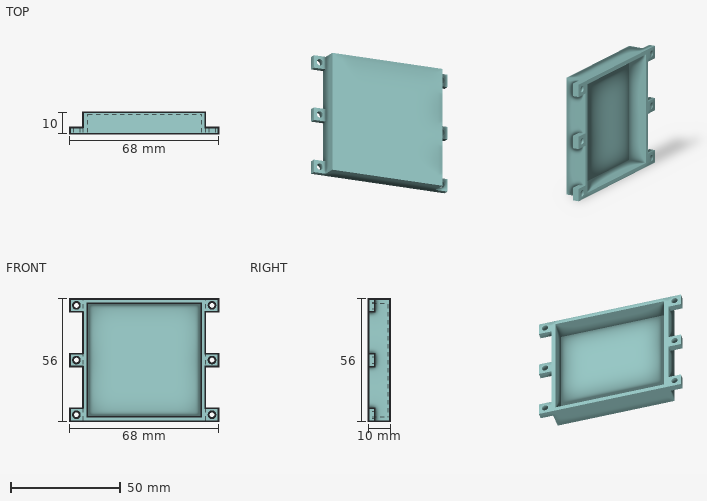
import cadquery as cq

overall_width = 68.0
depth = 10.0
tray_side = 56.0

wall = 2.0
floor = 1.0

tab_thickness = 3.0
hole_diameter = 3.0
tab_size = (overall_width - tray_side) / 2

tab_x = (tray_side + tab_size) / 2
tab_z = (tray_side - tab_size) / 2
tab_centers = [(x, z) for x in (-tab_x, tab_x) for z in (-tab_z, 0, tab_z)]


def open_face():
    """Plane of the open face at Y = 0, with local axes X and Z and its normal along -Y."""
    return cq.Workplane("XZ")


def make_tray():
    cavity_side = tray_side - 2 * wall
    block = open_face().rect(tray_side, tray_side).extrude(-depth)
    cavity = open_face().rect(cavity_side, cavity_side).extrude(-(depth - floor))
    return block.cut(cavity)


def make_tabs():
    tabs = open_face().pushPoints(tab_centers).rect(tab_size, tab_size).extrude(-tab_thickness)
    holes = open_face().pushPoints(tab_centers).circle(hole_diameter / 2).extrude(-tab_thickness)
    return tabs.cut(holes)


result = make_tray().union(make_tabs())